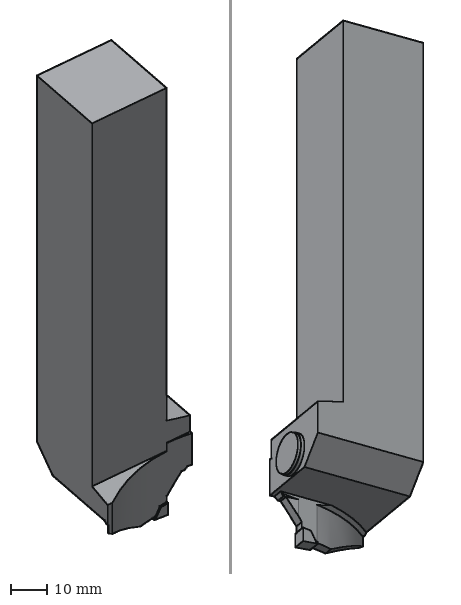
import cadquery as cq

total_height = 152.4
shank_side = 25.5
head_bottom = 14.0
head_width = 32.6
head_depth = 33.5
corner_chamfer = 7.3
foot_edge_top = 20.5
foot_root_top = 22.4
heel_edge_top = 31.1
heel_root_top = 33.2
pad_top = 25.3

relief_radius = 43.9
relief_apex_x = 25.6
relief_center_y = shank_side

blade_bottom = 1.0
blade_inner_x = 22.5
blade_flat_start = 20.7
blade_flat_end = 26.7
blade_back_x = 23.0
blade_back_y = 31.1
blade_front_x = 32.2
blade_front_y = 0.5
blade_mid_x = 25.9
blade_mid_y = 10.0
blade_tip_y = 25.5
back_slope_bottom = 6.2
front_slope_start_y = 15.5
front_slope_top = 10.0
root_flare = 1.0

screw_diameter = 11.9
screw_x = 13.4
screw_z = 20.7
screw_end_y = 35.5
collar_diameter = 12.2
collar_end_y = 34.6

insert_left = 22.0
insert_right = 26.2
insert_top = 4.3
insert_shoulder_y = 23.0
insert_shoulder_z = 4.0
insert_heel_y = 21.3
insert_heel_z = 0.5


def extrude_along_y(points, start, end):
    """Extrude an XZ outline from one Y position to another."""
    plane = cq.Workplane("XZ", origin=(0, start, 0))
    return plane.polyline(points).close().extrude(start - end)


def extrude_along_x(points, start, end):
    """Extrude a YZ outline from one X position to another."""
    plane = cq.Workplane("YZ", origin=(start, 0, 0))
    return plane.polyline(points).close().extrude(end - start)


def make_shank_and_head():
    shank = cq.Workplane("XY").box(shank_side, shank_side, total_height, centered=False)
    heel = extrude_along_x(
        [(0, 0), (head_depth, 0), (head_depth, heel_edge_top), (shank_side, heel_root_top), (0, heel_root_top)],
        0, shank_side,
    )
    foot = extrude_along_y(
        [(0, 0), (head_width, 0), (head_width, foot_edge_top), (shank_side, foot_root_top), (0, foot_root_top)],
        0, head_depth,
    )
    pad = cq.Workplane("XY").box(head_width, head_depth - shank_side, pad_top, centered=False)
    pad = pad.translate((0, shank_side, 0))
    below_head = cq.Workplane("XY").box(head_width, head_depth, head_bottom, centered=False)
    corner = extrude_along_y(
        [
            (0, head_bottom),
            (corner_chamfer, head_bottom),
            (0, head_bottom + corner_chamfer),
        ],
        0, head_depth,
    )
    return shank.union(heel).union(foot).union(pad).cut(below_head).cut(corner)


def blade_plan(bottom):
    """Closed plan outline of the blade at the given height."""
    return (
        cq.Workplane("XY", origin=(0, 0, bottom))
        .moveTo(blade_front_x, blade_front_y)
        .threePointArc((blade_mid_x, blade_mid_y), (blade_inner_x, blade_flat_start))
        .lineTo(blade_inner_x, blade_flat_end)
        .lineTo(blade_back_x, blade_back_y)
        .lineTo(head_width, blade_back_y)
        .lineTo(head_width, blade_front_y)
        .close()
    )


def make_blade():
    plan = blade_plan(0).extrude(head_bottom)
    side = extrude_along_x(
        [
            (blade_front_y, head_bottom),
            (blade_front_y, front_slope_top),
            (front_slope_start_y, blade_bottom),
            (blade_tip_y, blade_bottom),
            (blade_tip_y, back_slope_bottom),
            (blade_back_y, head_bottom),
        ],
        0, head_width,
    )
    return plan.intersect(side)


def make_blade_root():
    """45 degree flare under the head; the flat side of the blade stays straight."""
    flare = blade_plan(head_bottom - root_flare).extrude(root_flare, taper=-45)
    head_space = cq.Workplane("XY", origin=(blade_inner_x, 0, 0)).box(
        head_width - blade_inner_x, head_depth, head_bottom, centered=False
    )
    return flare.intersect(head_space)


def make_relief():
    """Cylinder that hollows the outer side of the foot and blade."""
    center_x = relief_apex_x + relief_radius
    return (
        cq.Workplane("XY")
        .center(center_x, relief_center_y)
        .circle(relief_radius)
        .extrude(total_height)
    )


def make_screw_head():
    plane = cq.Workplane("XZ", origin=(screw_x, head_depth, screw_z))
    head = plane.circle(screw_diameter / 2).extrude(head_depth - screw_end_y)
    collar = plane.circle(collar_diameter / 2).extrude(head_depth - collar_end_y)
    return head.union(collar)


def make_insert():
    return extrude_along_x(
        [
            (blade_tip_y, 0),
            (blade_tip_y, insert_top),
            (insert_shoulder_y, insert_shoulder_z),
            (insert_heel_y, blade_bottom),
            (blade_flat_start, blade_bottom),
            (blade_flat_start, insert_heel_z),
        ],
        insert_left, insert_right,
    )


def make_holder():
    body = make_shank_and_head().union(make_blade()).union(make_blade_root())
    return body.cut(make_relief()).union(make_screw_head())


insert = make_insert()
holder = make_holder().cut(insert)

result = cq.Compound.makeCompound([holder.val(), insert.val()])